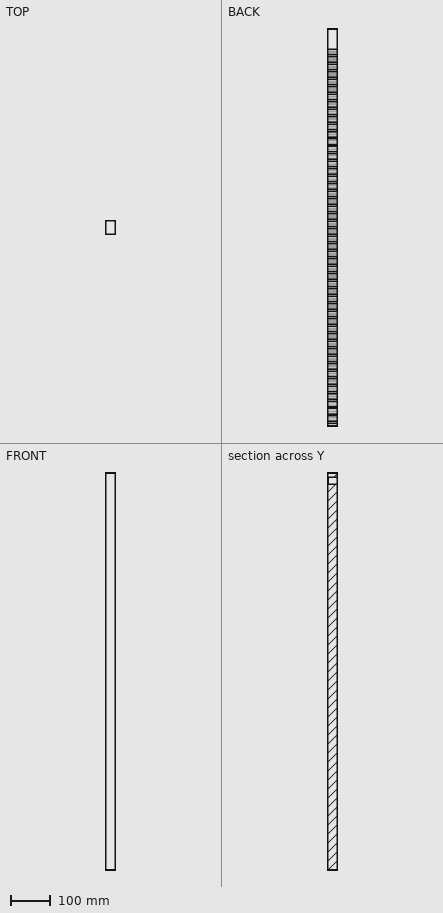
import cadquery as cq
import math

width = 25.0
height = 35.0
length = 1000.0
top_z = length / 2
crest_y = height / 2

module = 6.0
pressure_angle = math.radians(20)
pitch = math.pi * module
addendum = module
dedendum = 6.2
root_radius = 3.0
backlash = 0.1
pitch_line_y = crest_y - addendum
root_y = pitch_line_y - dedendum

first_gap_z = top_z - 58.0
gap_count = 51

gap_half_pitch_line = pitch / 4 + backlash / 2
gap_half_crest = gap_half_pitch_line + addendum * math.tan(pressure_angle)
gap_half_root = gap_half_pitch_line - dedendum * math.tan(pressure_angle)

hole_y = 0.0
hole_z = top_z - 20.0
hole_diameter = 16.5
hole_chamfer = 2.0


def tooth_gap():
    """Trapezoidal cutter for one tooth gap, centred on Z = 0, with both root corners rounded."""
    outline = [
        (crest_y, -gap_half_crest),
        (root_y, -gap_half_root),
        (root_y, gap_half_root),
        (crest_y, gap_half_crest),
    ]
    cutter = cq.Workplane("YZ").polyline(outline).close().extrude(width / 2, both=True)
    return cutter.faces("<Y").edges("|X").fillet(root_radius)


def all_tooth_gaps():
    """Copies of the tooth gap, one pitch apart, running down the bar."""
    gap = tooth_gap().val()
    positions = [(0, 0, first_gap_z - index * pitch) for index in range(gap_count)]
    return cq.Workplane("XY").pushPoints(positions).eachpoint(lambda place: gap.moved(place))


def mounting_hole():
    """Through-hole cutter, widened by the chamfer where it starts at the -X face."""
    side_face = cq.Workplane("YZ", origin=(-width / 2, hole_y, hole_z))
    bore = side_face.circle(hole_diameter / 2).extrude(width)
    chamfer_cone = (
        side_face.circle(hole_diameter / 2 + hole_chamfer)
        .workplane(offset=hole_chamfer)
        .circle(hole_diameter / 2)
        .loft()
    )
    return bore.union(chamfer_cone)


bar = cq.Workplane("XY").box(width, height, length)
result = bar.cut(all_tooth_gaps()).cut(mounting_hole())